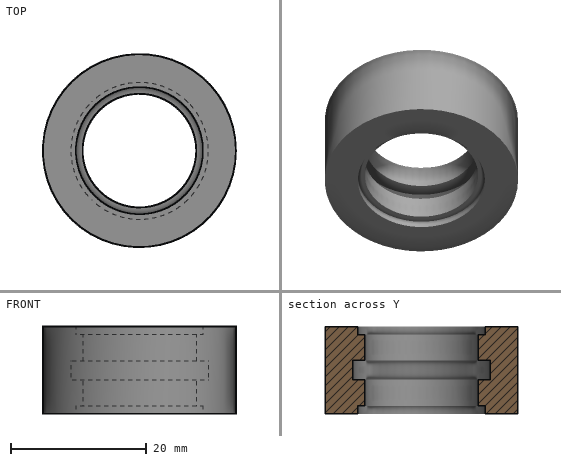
import cadquery as cq

outer_diameter = 28.6
height = 12.95

bore_diameter = 16.8
counterbore_diameter = 18.82
counterbore_depth = 1.17
groove_diameter = 20.3
groove_width = 2.8


def bore_cutter(diameter, length, bottom):
    """Solid cylinder on the ring axis, starting at height bottom."""
    return cq.Workplane("XY").workplane(offset=bottom).circle(diameter / 2).extrude(length)


result = cq.Workplane("XY").circle(outer_diameter / 2).extrude(height)

result = result.cut(bore_cutter(bore_diameter, height, 0))

for counterbore_bottom in (0, height - counterbore_depth):
    result = result.cut(bore_cutter(counterbore_diameter, counterbore_depth, counterbore_bottom))

result = result.cut(bore_cutter(groove_diameter, groove_width, (height - groove_width) / 2))